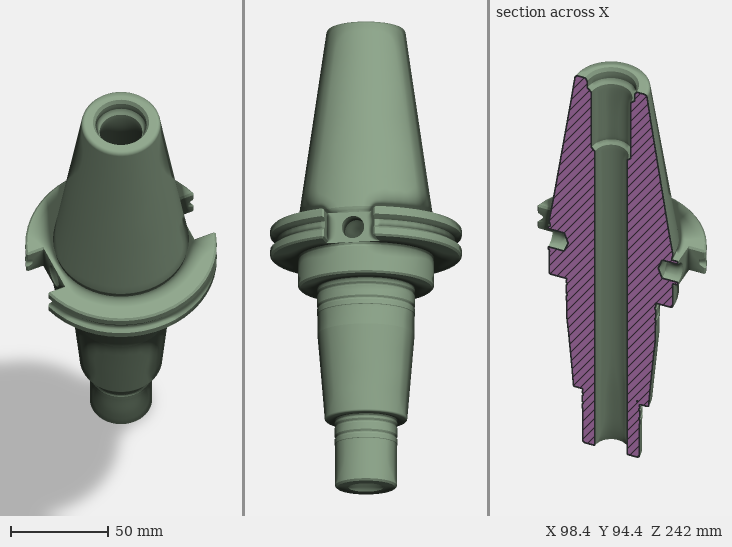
import cadquery as cq
import math


TOLERANCE = 0.001

TAPER_RATIO = 7 / 24
GAUGE_DIAMETER = 69.85
SHANK_LENGTH = 101.6
TOTAL_LENGTH = 242.0
SHANK_TOP_RADIUS = (GAUGE_DIAMETER - SHANK_LENGTH * TAPER_RATIO) / 2
RIM_FILLET = 2.0
TIP_Z = SHANK_LENGTH - TOTAL_LENGTH

RELIEF_DEPTH = 0.55
RELIEF_CONE_HEIGHT = 2.1

FLANGE_RADIUS = 98.425 / 2
FLANGE_TOP_Z = -3.175
FLANGE_BOTTOM_Z = -19.05
FLANGE_HEIGHT = FLANGE_TOP_Z - FLANGE_BOTTOM_Z
FLANGE_CHAMFER = 1.0
GROOVE_CENTRE_Z = (FLANGE_TOP_Z + FLANGE_BOTTOM_Z) / 2
GROOVE_ROOT_RADIUS = 45.8
GROOVE_ROOT_HALF_WIDTH = 1.6
GROOVE_FLANK_ANGLE = 30.0
GROOVE_CUTTER_OVERRUN = 1.0

SLOT_WIDTH = 25.95
SLOT_FLOORS_Y = (-37.7, 35.3)
POCKET_DIAMETER = 11.7
POCKET_DEPTH = 9.0
DRILL_POINT_ANGLE = 140.0

COLLAR_RADIUS = GAUGE_DIAMETER / 2
COLLAR_BOTTOM_Z = -35.0
COLLAR_CHAMFER = 1.0
UNDERCUT_DEPTH = 0.35
UNDERCUT_BOTTOM_Z = -20.9

SLEEVE_RADIUS = 50.0 / 2
SLEEVE_BAND_RADIUS = 50.5 / 2
SLEEVE_CONE_TOP_Z = -59.7
SLEEVE_BOTTOM_Z = -105.0
SLEEVE_BOTTOM_FILLET = 1.0
SLEEVE_CONE_ANGLE = 4.85

NOSE_RADIUS = 32.0 / 2
NOSE_BAND_RADIUS = 32.5 / 2
NOSE_CHAMFER = 1.0

BAND_RECESS_DEPTH = 0.35
SLEEVE_RECESS_FLOOR_Z = -35.2
SLEEVE_BAND_TOP_Z = -36.2
SLEEVE_BAND_BOTTOM_Z = -49.3
SLEEVE_GROOVES_Z = (-38.4, -45.5)
NOSE_RECESS_FLOOR_Z = -105.8
NOSE_BAND_TOP_Z = -106.7
NOSE_BAND_BOTTOM_Z = -117.9
NOSE_GROOVES_Z = (-108.4, -114.3)
BAND_GROOVE_WIDTH = 2.1
BAND_GROOVE_DEPTH = 0.6
BAND_GROOVE_FLOOR_WIDTH = 0.3

MOUTH_DIAMETER = 28.8
MOUTH_CHAMFER_DEPTH = 1.9
COUNTERBORE_DIAMETER = 26.4
COUNTERBORE_DEPTH = 6.2
THREAD_BORE_DIAMETER = 21.96
THREAD_BORE_DEPTH = 45.0
THROUGH_BORE_DIAMETER = 18.0


def revolve_profile(points):
    """Revolve a closed outline of (radius, z) points about the Z axis."""
    return cq.Workplane("XZ").polyline(points).close().revolve(360, (0, 0, 0), (0, 1, 0))


def band_groove(band_radius, centre_z):
    """Outline points of one groove with sloping flanks and a narrow flat floor, from top to bottom."""
    floor_radius = band_radius - BAND_GROOVE_DEPTH
    return [
        (band_radius, centre_z + BAND_GROOVE_WIDTH / 2),
        (floor_radius, centre_z + BAND_GROOVE_FLOOR_WIDTH / 2),
        (floor_radius, centre_z - BAND_GROOVE_FLOOR_WIDTH / 2),
        (band_radius, centre_z - BAND_GROOVE_WIDTH / 2),
    ]


def band(band_radius, base_radius, step_z, recess_z, top_z, grooves_z, bottom_z):
    """Outline points of a raised band, from the step above it down to its bevelled lower end."""
    points = [
        (band_radius, step_z),
        (band_radius - BAND_RECESS_DEPTH, recess_z),
        (band_radius, top_z),
    ]
    for centre_z in grooves_z:
        points += band_groove(band_radius, centre_z)
    points.append((band_radius, bottom_z + band_radius - base_radius))
    points.append((base_radius, bottom_z))
    return points


def make_body():
    """Shank, collar, sleeve and nose as one revolved solid."""
    relief_radius = COLLAR_RADIUS - RELIEF_DEPTH
    undercut_mid_z = (FLANGE_BOTTOM_Z + UNDERCUT_BOTTOM_Z) / 2
    cone_height = SLEEVE_CONE_TOP_Z - SLEEVE_BOTTOM_Z
    cone_bottom_radius = SLEEVE_RADIUS - cone_height * math.tan(math.radians(SLEEVE_CONE_ANGLE))
    sleeve_band = band(
        SLEEVE_BAND_RADIUS,
        SLEEVE_RADIUS,
        COLLAR_BOTTOM_Z,
        SLEEVE_RECESS_FLOOR_Z,
        SLEEVE_BAND_TOP_Z,
        SLEEVE_GROOVES_Z,
        SLEEVE_BAND_BOTTOM_Z,
    )
    nose_band = band(
        NOSE_BAND_RADIUS,
        NOSE_RADIUS,
        SLEEVE_BOTTOM_Z,
        NOSE_RECESS_FLOOR_Z,
        NOSE_BAND_TOP_Z,
        NOSE_GROOVES_Z,
        NOSE_BAND_BOTTOM_Z,
    )
    outline = [
        (0, SHANK_LENGTH),
        (SHANK_TOP_RADIUS, SHANK_LENGTH),
        (GAUGE_DIAMETER / 2, 0),
        (relief_radius, -RELIEF_CONE_HEIGHT),
        (relief_radius, FLANGE_TOP_Z),
        (COLLAR_RADIUS, FLANGE_BOTTOM_Z),
        (COLLAR_RADIUS - UNDERCUT_DEPTH, undercut_mid_z),
        (COLLAR_RADIUS, UNDERCUT_BOTTOM_Z),
        (COLLAR_RADIUS, COLLAR_BOTTOM_Z + COLLAR_CHAMFER),
        (COLLAR_RADIUS - COLLAR_CHAMFER, COLLAR_BOTTOM_Z),
        *sleeve_band,
        (SLEEVE_RADIUS, SLEEVE_CONE_TOP_Z),
        (cone_bottom_radius, SLEEVE_BOTTOM_Z),
        *nose_band,
        (NOSE_RADIUS, TIP_Z + NOSE_CHAMFER),
        (NOSE_RADIUS - NOSE_CHAMFER, TIP_Z),
        (0, TIP_Z),
    ]
    body = revolve_profile(outline)
    body = body.faces(">Z").edges().fillet(RIM_FILLET)
    circles = body.edges("%CIRCLE")
    sleeve_rim = circles.filter(lambda edge: abs(edge.radius() - cone_bottom_radius) < TOLERANCE)
    return sleeve_rim.fillet(SLEEVE_BOTTOM_FILLET)


def make_flange():
    """Flange disc with two drive slots, all outer edges chamfered, and a V-groove round its rim."""
    base = cq.Workplane("XY").workplane(offset=FLANGE_BOTTOM_Z)
    disc = revolve_profile([
        (0, FLANGE_TOP_Z),
        (FLANGE_RADIUS, FLANGE_TOP_Z),
        (FLANGE_RADIUS, FLANGE_BOTTOM_Z),
        (0, FLANGE_BOTTOM_Z),
    ])
    for floor_y in SLOT_FLOORS_Y:
        slot_depth = FLANGE_RADIUS - abs(floor_y)
        slot_centre_y = math.copysign(abs(floor_y) + slot_depth / 2, floor_y)
        disc = disc.cut(base.center(0, slot_centre_y).rect(SLOT_WIDTH, slot_depth).extrude(FLANGE_HEIGHT))
    disc = disc.edges().filter(is_off_slot_floors).chamfer(FLANGE_CHAMFER)
    return disc.cut(make_groove())


def is_off_slot_floors(edge):
    """True for every flange edge except those that bound a slot floor."""
    return all(abs(edge.Center().y - floor_y) > TOLERANCE for floor_y in SLOT_FLOORS_Y)


def make_groove():
    """Cutter for the V-groove: a ring with a flat root and flanks opening outwards."""
    outer_radius = FLANGE_RADIUS + GROOVE_CUTTER_OVERRUN
    flank_height = (outer_radius - GROOVE_ROOT_RADIUS) * math.tan(math.radians(GROOVE_FLANK_ANGLE))
    outer_half_width = GROOVE_ROOT_HALF_WIDTH + flank_height
    return revolve_profile([
        (GROOVE_ROOT_RADIUS, GROOVE_CENTRE_Z + GROOVE_ROOT_HALF_WIDTH),
        (outer_radius, GROOVE_CENTRE_Z + outer_half_width),
        (outer_radius, GROOVE_CENTRE_Z - outer_half_width),
        (GROOVE_ROOT_RADIUS, GROOVE_CENTRE_Z - GROOVE_ROOT_HALF_WIDTH),
    ])


def make_pocket(floor_y):
    """Drilled hole with a conical end, from a slot floor towards the axis."""
    radius = POCKET_DIAMETER / 2
    tip_depth = POCKET_DEPTH + radius / math.tan(math.radians(DRILL_POINT_ANGLE / 2))
    drill = revolve_profile([(0, 0), (radius, 0), (radius, -POCKET_DEPTH), (0, -tip_depth)])
    tilt = math.copysign(90, -floor_y)
    return drill.rotate((0, 0, 0), (1, 0, 0), tilt).translate((0, floor_y, GROOVE_CENTRE_Z))


def make_bore():
    """Stepped axial bore: chamfered mouth, counterbore, thread bore and through bore."""
    mouth_radius = MOUTH_DIAMETER / 2
    counterbore_radius = COUNTERBORE_DIAMETER / 2
    thread_radius = THREAD_BORE_DIAMETER / 2
    through_radius = THROUGH_BORE_DIAMETER / 2
    counterbore_z = SHANK_LENGTH - COUNTERBORE_DEPTH
    thread_bottom_z = SHANK_LENGTH - THREAD_BORE_DEPTH
    return revolve_profile([
        (0, SHANK_LENGTH),
        (mouth_radius, SHANK_LENGTH),
        (counterbore_radius, SHANK_LENGTH - MOUTH_CHAMFER_DEPTH),
        (counterbore_radius, counterbore_z),
        (thread_radius, counterbore_z - (counterbore_radius - thread_radius)),
        (thread_radius, thread_bottom_z),
        (through_radius, thread_bottom_z - (thread_radius - through_radius)),
        (through_radius, TIP_Z),
        (0, TIP_Z),
    ])


result = make_body().union(make_flange()).cut(make_bore())
for slot_floor_y in SLOT_FLOORS_Y:
    result = result.cut(make_pocket(slot_floor_y))